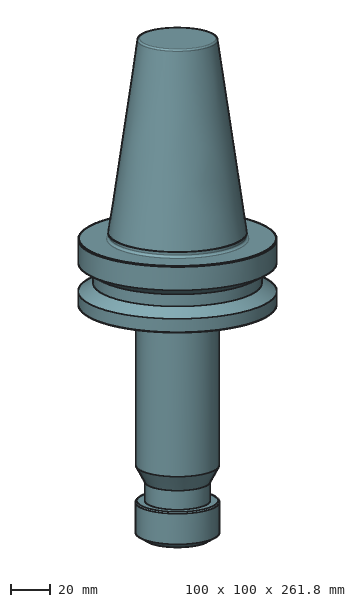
import cadquery as cq
import math

total_height = 261.8

gauge_diameter = 70.0
taper_length = 101.8
taper_ratio = 7 / 24
tip_fillet = 1.0

collar_height = 3.0
collar_undercut = 0.5
collar_fillet = 1.3

flange_diameter = 100.0
flange_bottom = 122.0
groove_diameter = 85.0
groove_floor_center = 137.0
groove_floor_width = 6.3
groove_flank_angle = 30
flange_chamfer = 0.5

shank_diameter = 42.1
shank_fillet = 3.0
shoulder_top = 38.5
shoulder_bottom = 29.8
neck_diameter = 33.0

head_diameter = 42.5
head_top = 20.0
head_top_chamfer = 0.8
nose_diameter = 32.5
nose_height = 3.1

gauge_radius = gauge_diameter / 2
gauge_height = total_height - taper_length
tip_radius = (gauge_diameter - taper_length * taper_ratio) / 2
collar_radius = gauge_radius - collar_undercut
flange_radius = flange_diameter / 2
flange_top = gauge_height - collar_height
groove_radius = groove_diameter / 2
flank_height = (flange_radius - groove_radius) * math.tan(math.radians(groove_flank_angle))
floor_top = groove_floor_center + groove_floor_width / 2
floor_bottom = groove_floor_center - groove_floor_width / 2
shank_radius = shank_diameter / 2
neck_radius = neck_diameter / 2
head_radius = head_diameter / 2

arc_inset = 1 - math.sqrt(0.5)
shank_inset = shank_fillet * arc_inset
shank_fillet_mid = (shank_radius + shank_inset, flange_bottom - shank_inset)
collar_inset = collar_fillet * arc_inset
collar_fillet_mid = (collar_radius + collar_inset, flange_top + collar_inset)

profile = (
    cq.Workplane("XZ")
    .lineTo(nose_diameter / 2, 0)
    .lineTo(head_radius, nose_height)
    .lineTo(head_radius, head_top - head_top_chamfer)
    .lineTo(head_radius - head_top_chamfer, head_top)
    .lineTo(neck_radius, head_top)
    .lineTo(neck_radius, shoulder_bottom)
    .lineTo(shank_radius, shoulder_top)
    .lineTo(shank_radius, flange_bottom - shank_fillet)
    .threePointArc(shank_fillet_mid, (shank_radius + shank_fillet, flange_bottom))
    .lineTo(flange_radius - flange_chamfer, flange_bottom)
    .lineTo(flange_radius, flange_bottom + flange_chamfer)
    .lineTo(flange_radius, floor_bottom - flank_height)
    .lineTo(groove_radius, floor_bottom)
    .lineTo(groove_radius, floor_top)
    .lineTo(flange_radius, floor_top + flank_height)
    .lineTo(flange_radius, flange_top - flange_chamfer)
    .lineTo(flange_radius - flange_chamfer, flange_top)
    .lineTo(collar_radius + collar_fillet, flange_top)
    .threePointArc(collar_fillet_mid, (collar_radius, flange_top + collar_fillet))
    .lineTo(collar_radius, gauge_height)
    .lineTo(gauge_radius, gauge_height)
    .lineTo(tip_radius, total_height)
    .lineTo(0, total_height)
    .close()
)

body = profile.revolve(360, (0, 0, 0), (0, 1, 0))
result = body.faces(">Z").edges().fillet(tip_fillet)